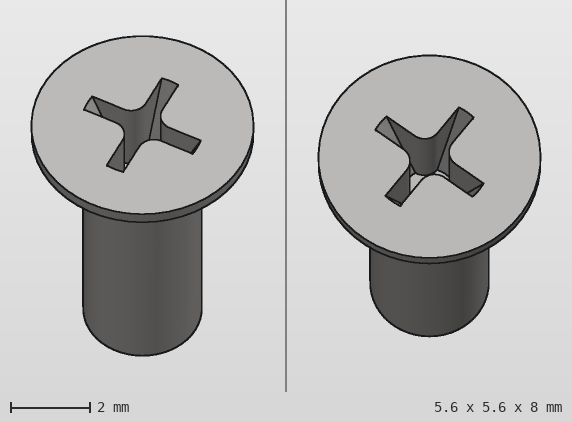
import cadquery as cq

length = 8.0
head_radius = 2.8
shank_radius = 1.5
rim_height = 0.34
tip_chamfer = 0.29

recess_depth = 2.24
recess_top_radius = 1.55
recess_floor_radius = 0.66
slot_width = 0.46
corner_radius = 0.42

head_height = rim_height + head_radius - shank_radius


def make_body():
    """Revolve the countersunk head and chamfered shank about Z."""
    profile = (
        cq.Workplane("XZ")
        .moveTo(0, 0)
        .lineTo(head_radius, 0)
        .lineTo(head_radius, -rim_height)
        .lineTo(shank_radius, -head_height)
        .lineTo(shank_radius, -length + tip_chamfer)
        .lineTo(shank_radius - tip_chamfer, -length)
        .lineTo(0, -length)
        .close()
    )
    return profile.revolve(360, (0, 0, 0), (0, 1, 0))


def make_recess():
    """Cross-shaped prism with rounded inner corners, trimmed by a cone."""
    slot_length = 2 * recess_top_radius + slot_width
    floor = cq.Workplane("XY").workplane(offset=-recess_depth)
    slot_x = floor.rect(slot_length, slot_width).extrude(recess_depth)
    slot_y = floor.rect(slot_width, slot_length).extrude(recess_depth)
    inner_corners = cq.selectors.BoxSelector(
        (-slot_width, -slot_width, -recess_depth),
        (slot_width, slot_width, 0),
    )
    cross = slot_x.union(slot_y).edges("|Z").edges(inner_corners).fillet(corner_radius)

    cone = (
        cq.Workplane("XZ")
        .moveTo(0, 0)
        .lineTo(recess_top_radius, 0)
        .lineTo(recess_floor_radius, -recess_depth)
        .lineTo(0, -recess_depth)
        .close()
        .revolve(360, (0, 0, 0), (0, 1, 0))
    )
    return cross.intersect(cone)


result = make_body().cut(make_recess())